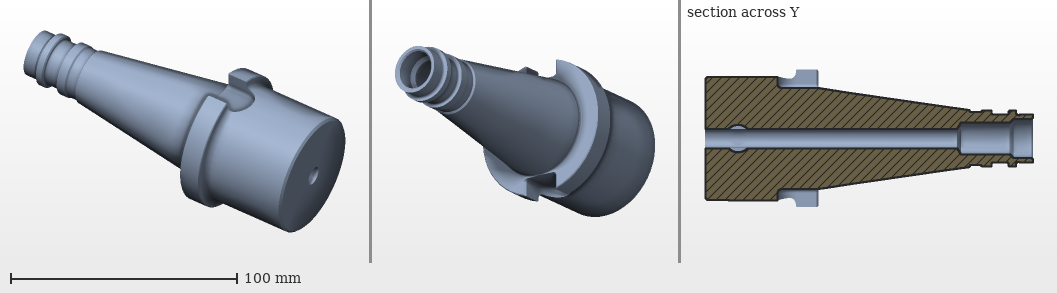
import cadquery as cq
import math


TOTAL_LENGTH = 145.0

NOSE_RADIUS = 10.7
NOSE_END = 5.8
NOSE_STEP = 0.3
RING_START = 7.5
RING_END = 11.0
RING_RADIUS = 12.5
RING_CHAMFER = 0.6
RING_FRONT_FILLET = 1.2
RING_BACK_FILLET = 0.5
COLLAR_START = 18.4
COLLAR_FILLET = 0.7
COLLAR_END = 22.5
COLLAR_CHAMFER = 0.7
RELIEF_RADIUS = 11.9

TAPER_START = 27.8
TAPER_END = 93.1
TAPER_CHAMFER = 0.6
GAUGE_RADIUS = 22.2
TAPER_SLOPE = 7 / 24 / 2

FLANGE_START = 94.8
FLANGE_END = 104.8
FLANGE_RADIUS = 31.5
FLANGE_CHAMFER = 0.5
FLANGE_FRONT_FILLET = 0.9
FLANGE_BACK_FILLET = 3.0

BODY_RADIUS = 27.4
BODY_CHAMFER = 1.0

MOUTH_RADIUS = 9.3
COUNTERBORE_RADIUS = 8.5
COUNTERBORE_DEPTH = 8.7
THREAD_RADIUS = 7.0
THREAD_DEPTH = 31.9
THROUGH_RADIUS = 4.2
DRILL_POINT_ANGLE = 118.0

SLOT_WIDTH = 16.1
SLOT_FLOOR = 22.5
SLOT_FLOOR_FILLET = 1.6
SLOT_MOUTH_CHAMFER = 0.9

SCREW_X = 130.5
SCREW_RADIUS = 6.0


def make_holder_blank():
    """Revolve the outer outline, from the tip to the back face."""
    groove_radius = NOSE_RADIUS - NOSE_STEP
    taper_start_radius = GAUGE_RADIUS - (TAPER_END - TAPER_START) * TAPER_SLOPE
    front_fillet = FLANGE_FRONT_FILLET
    back_fillet = FLANGE_BACK_FILLET
    outline = (
        cq.Workplane("XY")
        .lineTo(0, NOSE_RADIUS)
        .lineTo(NOSE_END, NOSE_RADIUS)
        .lineTo(NOSE_END + NOSE_STEP, groove_radius)
        .lineTo(RING_START - RING_FRONT_FILLET, groove_radius)
        .radiusArc((RING_START, groove_radius + RING_FRONT_FILLET), -RING_FRONT_FILLET)
        .lineTo(RING_START, RING_RADIUS)
        .lineTo(RING_END - RING_CHAMFER, RING_RADIUS)
        .lineTo(RING_END, RING_RADIUS - RING_CHAMFER)
        .lineTo(RING_END, NOSE_RADIUS + RING_BACK_FILLET)
        .radiusArc((RING_END + RING_BACK_FILLET, NOSE_RADIUS), -RING_BACK_FILLET)
        .lineTo(COLLAR_START - COLLAR_FILLET, NOSE_RADIUS)
        .radiusArc((COLLAR_START, NOSE_RADIUS + COLLAR_FILLET), -COLLAR_FILLET)
        .lineTo(COLLAR_START, RING_RADIUS)
        .lineTo(COLLAR_END, RING_RADIUS)
        .lineTo(COLLAR_END + COLLAR_CHAMFER, RELIEF_RADIUS)
        .lineTo(TAPER_START, RELIEF_RADIUS)
        .lineTo(TAPER_START, taper_start_radius - TAPER_CHAMFER)
        .lineTo(TAPER_START + TAPER_CHAMFER, taper_start_radius + TAPER_CHAMFER * TAPER_SLOPE)
        .lineTo(TAPER_END, GAUGE_RADIUS)
        .lineTo(FLANGE_START - front_fillet, GAUGE_RADIUS)
        .radiusArc((FLANGE_START, GAUGE_RADIUS + front_fillet), -front_fillet)
        .lineTo(FLANGE_START, FLANGE_RADIUS - FLANGE_CHAMFER)
        .lineTo(FLANGE_START + FLANGE_CHAMFER, FLANGE_RADIUS)
        .lineTo(FLANGE_END - FLANGE_CHAMFER, FLANGE_RADIUS)
        .lineTo(FLANGE_END, FLANGE_RADIUS - FLANGE_CHAMFER)
        .lineTo(FLANGE_END, BODY_RADIUS + back_fillet)
        .radiusArc((FLANGE_END + back_fillet, BODY_RADIUS), -back_fillet)
        .lineTo(TOTAL_LENGTH - BODY_CHAMFER, BODY_RADIUS)
        .lineTo(TOTAL_LENGTH, BODY_RADIUS - BODY_CHAMFER)
        .lineTo(TOTAL_LENGTH, 0)
        .close()
    )
    return outline.revolve(360, (0, 0, 0), (1, 0, 0))


def make_axial_hole():
    """Stepped hole along X, open at both ends."""
    half_point = math.radians(DRILL_POINT_ANGLE / 2)
    mouth_chamfer = MOUTH_RADIUS - COUNTERBORE_RADIUS
    cone_length = (THREAD_RADIUS - THROUGH_RADIUS) / math.tan(half_point)
    step_length = COUNTERBORE_RADIUS - THREAD_RADIUS
    outline = (
        cq.Workplane("XY")
        .lineTo(0, MOUTH_RADIUS)
        .lineTo(mouth_chamfer, COUNTERBORE_RADIUS)
        .lineTo(COUNTERBORE_DEPTH, COUNTERBORE_RADIUS)
        .lineTo(COUNTERBORE_DEPTH + step_length, THREAD_RADIUS)
        .lineTo(THREAD_DEPTH, THREAD_RADIUS)
        .lineTo(THREAD_DEPTH + cone_length, THROUGH_RADIUS)
        .lineTo(TOTAL_LENGTH, THROUGH_RADIUS)
        .lineTo(TOTAL_LENGTH, 0)
        .close()
    )
    return outline.revolve(360, (0, 0, 0), (1, 0, 0))


def make_drive_slot():
    """Upper slot: flared at its -X mouth, round at its +X end, filleted along its floor."""
    half_width = SLOT_WIDTH / 2
    mouth_half_width = half_width + SLOT_MOUTH_CHAMFER
    flare_end = FLANGE_START + SLOT_MOUTH_CHAMFER
    cutter_start = FLANGE_START - 2 * SLOT_FLOOR_FILLET
    return (
        cq.Workplane("XY", origin=(0, 0, SLOT_FLOOR))
        .moveTo(cutter_start, mouth_half_width)
        .lineTo(FLANGE_START, mouth_half_width)
        .lineTo(flare_end, half_width)
        .lineTo(FLANGE_END, half_width)
        .threePointArc((FLANGE_END + half_width, 0), (FLANGE_END, -half_width))
        .lineTo(flare_end, -half_width)
        .lineTo(FLANGE_START, -mouth_half_width)
        .lineTo(cutter_start, -mouth_half_width)
        .close()
        .extrude(FLANGE_RADIUS - SLOT_FLOOR)
        .faces("<Z")
        .edges()
        .fillet(SLOT_FLOOR_FILLET)
    )


def make_screw_hole():
    """Radial hole from the +Y side to the axis."""
    return (
        cq.Workplane("XZ")
        .center(SCREW_X, 0)
        .circle(SCREW_RADIUS)
        .extrude(-BODY_RADIUS)
    )


upper_slot = make_drive_slot()
lower_slot = upper_slot.rotate((0, 0, 0), (1, 0, 0), 180)

result = (
    make_holder_blank()
    .cut(make_axial_hole())
    .cut(upper_slot)
    .cut(lower_slot)
    .cut(make_screw_hole())
)